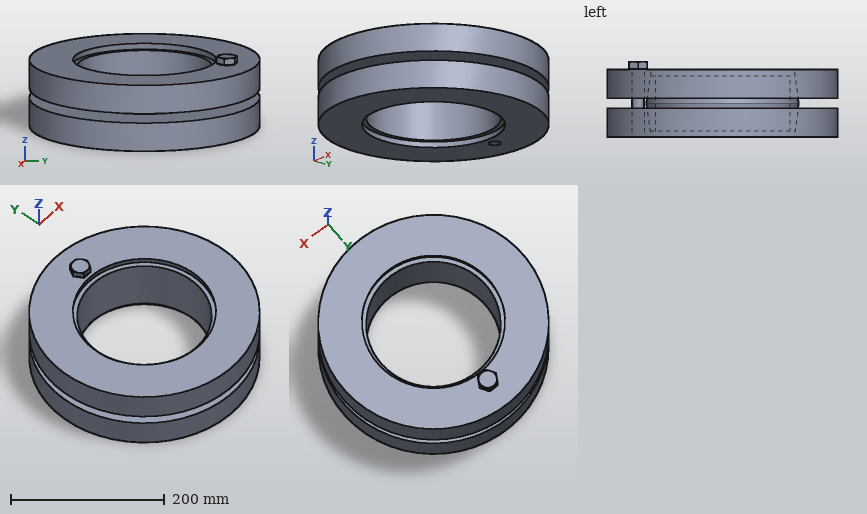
import cadquery as cq
import math


disc_diameter = 300.0
disc_thickness = 37.8
disc_gap = 12.5
disc_mouth_radius = 93.0
gap_face = disc_gap / 2
outer_face = gap_face + disc_thickness

ring_bore_diameter = 175.0
ring_mid_radius = 99.3
ring_recess = 8.0
ring_half_height = outer_face - ring_recess

bolt_offset = 109.8
shank_diameter = 16.0
head_height = 10.0
head_across_flats = 24.0
head_top_diameter = head_across_flats
washer_face_diameter = 22.0
washer_face_height = 1.0
head_chamfer_angle = 30.0
head_across_corners = head_across_flats / math.cos(math.radians(30))


def taper_radius(height):
    """Radius of the mating cones at a given distance from the mid-plane."""
    slope = (ring_mid_radius - disc_mouth_radius) / outer_face
    return ring_mid_radius - slope * height


def revolve_about_z(profile_points):
    """Solid of revolution from (radius, height) points."""
    return cq.Workplane("XZ").polyline(profile_points).close().revolve(360, (0, 0), (0, 1))


def make_thrust_disc(side):
    """Disc with a tapered bore and a bolt hole; side is +1 above the gap, -1 below it."""
    rim_radius = disc_diameter / 2
    disc = revolve_about_z([
        (taper_radius(gap_face), side * gap_face),
        (rim_radius, side * gap_face),
        (rim_radius, side * outer_face),
        (disc_mouth_radius, side * outer_face),
    ])
    bolt_hole = (
        cq.Workplane("XY", origin=(0, bolt_offset, -outer_face))
        .circle(shank_diameter / 2)
        .extrude(2 * outer_face)
    )
    return disc.cut(bolt_hole)


def make_inner_ring():
    """Plain-bored ring whose outside tapers away from the mid-plane both ways."""
    bore_radius = ring_bore_diameter / 2
    end_radius = taper_radius(ring_half_height)
    return revolve_about_z([
        (bore_radius, -ring_half_height),
        (end_radius, -ring_half_height),
        (ring_mid_radius, 0),
        (end_radius, ring_half_height),
        (bore_radius, ring_half_height),
    ])


def make_bolt_head():
    """Hexagon head, corners along X, top corners bevelled, on a thin round washer face."""
    hexagon = (
        cq.Workplane("XY", origin=(0, 0, washer_face_height))
        .polygon(6, head_across_corners)
        .extrude(head_height - washer_face_height)
    )
    washer_face = cq.Workplane("XY").circle(washer_face_diameter / 2).extrude(washer_face_height)
    top_radius = head_top_diameter / 2
    corner_radius = head_across_corners / 2
    bevel_drop = (corner_radius - top_radius) * math.tan(math.radians(head_chamfer_angle))
    bevel_envelope = revolve_about_z([
        (0, 0),
        (corner_radius, 0),
        (corner_radius, head_height - bevel_drop),
        (top_radius, head_height),
        (0, head_height),
    ])
    head = hexagon.intersect(bevel_envelope).union(washer_face)
    return head.translate((0, bolt_offset, outer_face))


def make_bolt():
    """Head resting on the upper disc, with a shank ending flush with the lower disc."""
    shank = (
        cq.Workplane("XY", origin=(0, bolt_offset, -outer_face))
        .circle(shank_diameter / 2)
        .extrude(2 * outer_face)
    )
    return make_bolt_head().union(shank)


thrust_discs = [make_thrust_disc(side) for side in (1, -1)]
inner_ring = make_inner_ring()
bolt = make_bolt()

result = cq.Compound.makeCompound([
    *[disc.val() for disc in thrust_discs],
    inner_ring.val(),
    bolt.val(),
])